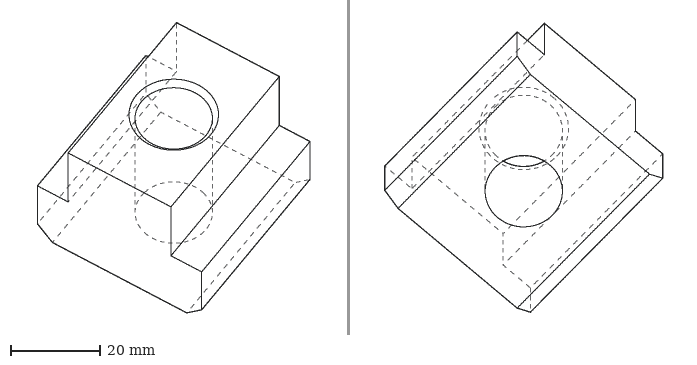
import cadquery as cq

length = 44.0
base_width = 44.0
total_height = 36.0

neck_width = 27.55
base_height = 18.0
bottom_chamfer = 4.0

hole_diameter = 17.3
countersink_diameter = 20.0
countersink_angle = 90.0


def make_base():
    """Wide foot with its two long lower edges chamfered."""
    base = cq.Workplane("XY").box(base_width, length, base_height, centered=(True, True, False))
    return base.faces("<Z").edges("|Y").chamfer(bottom_chamfer)


def make_neck():
    """Narrow upper block that runs the full length of the base."""
    neck_height = total_height - base_height
    neck = cq.Workplane("XY").box(neck_width, length, neck_height, centered=(True, True, False))
    return neck.translate((0, 0, base_height))


body = make_base().union(make_neck())
result = body.faces(">Z").workplane(origin=(0, 0, total_height)).cskHole(
    hole_diameter, countersink_diameter, countersink_angle
)